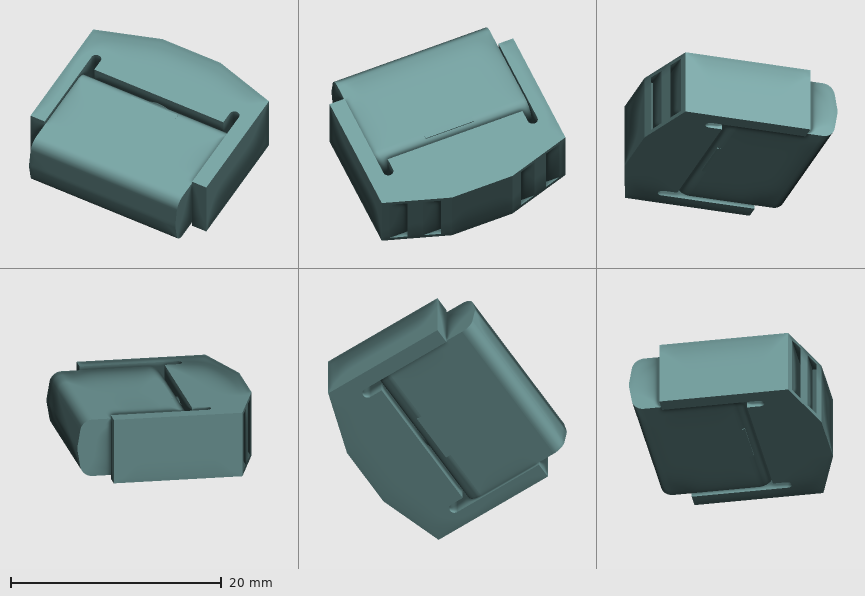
import cadquery as cq
import math

WIDTH = 19.0
LENGTH = 17.7
HEIGHT = 6.3
BACK_Y = LENGTH / 2
FRONT_Y = -LENGTH / 2

BACK_FLAT_WIDTH = 6.27
BACK_SLOPE_LENGTH = 2.07
HOUSING_LENGTH = 14.5
ARM_THICKNESS = 1.54
PLATE_LENGTH = 6.48
PLATE_FRONT_Y = BACK_Y - PLATE_LENGTH
ARM_INNER_X = WIDTH / 2 - ARM_THICKNESS

SLOT_WIDTH = 0.99
SLOT_DEPTH = 1.77

POCKET_HEIGHT = 5.55
POCKET_LENGTH = 0.53
POCKET_PITCH = 0.99
FIRST_POCKET_OFFSET = 0.59
POCKET_FLOOR_X = BACK_FLAT_WIDTH / 2

SIDE_GAP = 0.05
INSERT_WIDTH = 2 * (ARM_INNER_X - SIDE_GAP)
INSERT_HEIGHT = 5.6
REAR_RADIUS = 1.5
NOSE_RADIUS = 1.52
NOSE_EDGE_RADIUS = 1.2
NOSE_SLOPE = math.radians(9.5)

TAB_WIDTH = 5.0
TAB_CENTER_X = 0.11
TAB_REAR_OFFSET = 0.99

NECK_RADIUS = 2.05
STUB_RADIUS = 2.4
STUB_DEPTH = 0.95


def make_stub():
    """Round stub that reaches from the plate face back into the plate."""
    return (
        cq.Workplane("XZ", origin=(0, PLATE_FRONT_Y, 0))
        .circle(STUB_RADIUS)
        .extrude(-STUB_DEPTH)
    )


def make_slots():
    """Round-ended relief slots beside the inner faces of the arms."""
    slot_end_y = PLATE_FRONT_Y + SLOT_DEPTH
    slot_x = ARM_INNER_X - SLOT_WIDTH / 2
    overlap = SLOT_WIDTH
    slot_length = SLOT_DEPTH + overlap
    return (
        cq.Workplane("XY", origin=(0, 0, -HEIGHT / 2))
        .pushPoints([(side * slot_x, slot_end_y - slot_length / 2) for side in (-1, 1)])
        .slot2D(slot_length, SLOT_WIDTH, angle=90)
        .extrude(HEIGHT)
    )


def make_grip_pockets():
    """Pairs of pockets cut sideways into both sloped back corners."""
    pocket_width = WIDTH / 2 - POCKET_FLOOR_X
    pocket_x = POCKET_FLOOR_X + pocket_width / 2
    first_y = BACK_Y - FIRST_POCKET_OFFSET
    centers = [
        (side * pocket_x, first_y - index * POCKET_PITCH)
        for side in (-1, 1)
        for index in range(2)
    ]
    return (
        cq.Workplane("XY")
        .pushPoints(centers)
        .box(pocket_width, POCKET_LENGTH, POCKET_HEIGHT)
    )


def make_housing():
    """U-shaped housing: a back plate with two arms."""
    arm_front_y = BACK_Y - HOUSING_LENGTH
    slope_front_y = BACK_Y - BACK_SLOPE_LENGTH
    right_side = [
        (BACK_FLAT_WIDTH / 2, BACK_Y),
        (WIDTH / 2, slope_front_y),
        (WIDTH / 2, arm_front_y),
        (ARM_INNER_X, arm_front_y),
        (ARM_INNER_X, PLATE_FRONT_Y),
    ]
    left_side = [(-x, y) for x, y in reversed(right_side)]
    body = (
        cq.Workplane("XY", origin=(0, 0, -HEIGHT / 2))
        .polyline(right_side + left_side)
        .close()
        .extrude(HEIGHT)
    )
    return body.cut(make_slots()).cut(make_grip_pockets()).cut(make_stub())


def make_insert_block():
    """Block with a rounded rear and a pointed, rounded nose."""
    half_height = INSERT_HEIGHT / 2
    point_y = FRONT_Y - NOSE_RADIUS * (1 / math.cos(NOSE_SLOPE) - 1)
    shoulder_y = point_y + half_height * math.tan(NOSE_SLOPE)
    block = (
        cq.Workplane("YZ", origin=(-INSERT_WIDTH / 2, 0, 0))
        .moveTo(PLATE_FRONT_Y, -half_height)
        .lineTo(PLATE_FRONT_Y, half_height)
        .lineTo(shoulder_y, half_height)
        .lineTo(point_y, 0)
        .lineTo(shoulder_y, -half_height)
        .close()
        .extrude(INSERT_WIDTH)
    )
    block = block.edges("|X and >Y").fillet(REAR_RADIUS)
    block = block.edges("|X and <Y").fillet(NOSE_RADIUS)
    reach = INSERT_HEIGHT / 20
    shoulders = cq.selectors.BoxSelector(
        (-WIDTH, shoulder_y - reach, -HEIGHT), (WIDTH, shoulder_y + reach, HEIGHT)
    )
    return block.edges("|X").edges(shoulders).fillet(NOSE_EDGE_RADIUS)


def make_insert():
    """Insert block with its rear tabs, neck and seating stub."""
    tab_rear_y = PLATE_FRONT_Y - TAB_REAR_OFFSET
    tab_front_y = PLATE_FRONT_Y - 2 * REAR_RADIUS
    tab = cq.Workplane("XY", origin=(TAB_CENTER_X, (tab_rear_y + tab_front_y) / 2, 0)).box(
        TAB_WIDTH, tab_rear_y - tab_front_y, INSERT_HEIGHT
    )
    neck = (
        cq.Workplane("XZ", origin=(0, PLATE_FRONT_Y, 0))
        .circle(NECK_RADIUS)
        .extrude(REAR_RADIUS)
    )
    return make_insert_block().union(tab).union(neck).union(make_stub())


housing = make_housing()
insert = make_insert()

result = cq.Compound.makeCompound([housing.solids().val(), insert.solids().val()])